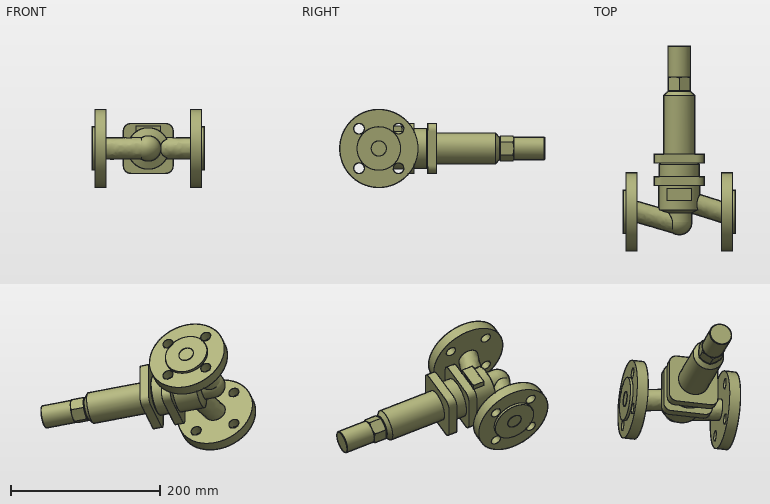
import cadquery as cq
import math


FACE_TO_FACE = 150.0
FLANGE_DIA = 105.0
FLANGE_THICKNESS = 15.0
RAISED_FACE_DIA = 58.2
RAISED_FACE_HEIGHT = 3.5
BOLT_CIRCLE_DIA = 74.7
BOLT_HOLE_DIA = 14.0
BOLT_HOLE_COUNT = 4
FIRST_BOLT_ANGLE = 45
PORT_DIA = 20.3
PORT_DEPTH = 0.5

PIPE_DIA = 28.8
RIGHT_PIPE_RISE = 17.9

TOTAL_LENGTH = 274.7
BALL_RADIUS = 17.0
BALL_Y = -13.7
NECK_TOP_Y = -1.5
BODY_BOTTOM_Y = 2.7
BODY_DIA = 55.5

CLAMP_SIDE = 67.0
CLAMP_CORNER_RADIUS = 10.2
CLAMP_THICKNESS = 12.0
LOWER_CLAMP_Y = 35.2
UPPER_CLAMP_Y = 65.5

COLLAR_DIA = 53.8
COLLAR_CHAMFER_WIDTH = 2.5
COLLAR_CHAMFER_HEIGHT = 1.6

BONNET_DIA = 42.0
BONNET_SHOULDER_Y = 156.0
BONNET_TOP_Y = 161.2
CAP_DIA = 30.5
CAP_TOP_Y = TOTAL_LENGTH - FLANGE_DIA / 2
CAP_CHAMFER = 0.8

HEX_SIDES = 6
HEX_TURN = 90
HEX_BOTTOM_Y = 162.5
HEX_TOP_Y = 180.7
HEX_CORNER_DIA = 34.0
HEX_CORE_DIA = 27.5
HEX_CHAMFER_ANGLE = 30

PAD_WIDTH = 32.0
PAD_LENGTH = 16.0
PAD_BOTTOM_Y = 15.0
PAD_TOP_Z = 30.2

FLANGE_INNER_X = FACE_TO_FACE / 2 - RAISED_FACE_HEIGHT - FLANGE_THICKNESS


def plane_across_y(y):
    """Plane at height y on the bonnet axis, with local x along X and normal along +Y."""
    return cq.Workplane(cq.Plane(origin=(0, y, 0), xDir=(1, 0, 0), normal=(0, 1, 0)))


def pipe_flange(side):
    """Drilled flange with a raised face, on side -1 (left) or +1 (right)."""
    plane = cq.Plane(origin=(side * FLANGE_INNER_X, 0, 0), xDir=(0, 1, 0), normal=(side, 0, 0))
    start = cq.Workplane(plane)
    bolt_holes = (
        start.polarArray(BOLT_CIRCLE_DIA / 2, FIRST_BOLT_ANGLE, 360, BOLT_HOLE_COUNT)
        .circle(BOLT_HOLE_DIA / 2)
        .extrude(FLANGE_THICKNESS)
    )
    face_height = FLANGE_THICKNESS + RAISED_FACE_HEIGHT
    disc = start.circle(FLANGE_DIA / 2).extrude(FLANGE_THICKNESS).cut(bolt_holes)
    raised_face = start.circle(RAISED_FACE_DIA / 2).extrude(face_height)
    port = start.workplane(offset=face_height - PORT_DEPTH).circle(PORT_DIA / 2).extrude(PORT_DEPTH)
    return disc.union(raised_face).cut(port)


def slanted_pipe(x_inner, y_inner, x_flange):
    """Pipe with circular ends square to X, slanting from the flange axis to the inner point."""
    return (
        cq.Workplane("YZ", origin=(x_inner, 0, 0))
        .center(y_inner, 0)
        .circle(PIPE_DIA / 2)
        .workplane(offset=x_flange - x_inner)
        .center(-y_inner, 0)
        .circle(PIPE_DIA / 2)
        .loft(ruled=True)
    )


def turned_body():
    """Ball end, neck, body, collar, bonnet and cap, with a core for the hexagon."""
    collar_end_y = UPPER_CLAMP_Y - COLLAR_CHAMFER_HEIGHT
    return (
        cq.Workplane("XY")
        .moveTo(0, BALL_Y - BALL_RADIUS)
        .threePointArc(
            (BALL_RADIUS * math.sqrt(0.5), BALL_Y - BALL_RADIUS * math.sqrt(0.5)),
            (BALL_RADIUS, BALL_Y),
        )
        .lineTo(BALL_RADIUS, NECK_TOP_Y)
        .lineTo(BODY_DIA / 2, BODY_BOTTOM_Y)
        .lineTo(BODY_DIA / 2, LOWER_CLAMP_Y)
        .lineTo(COLLAR_DIA / 2, LOWER_CLAMP_Y)
        .lineTo(COLLAR_DIA / 2, collar_end_y)
        .lineTo(COLLAR_DIA / 2 - COLLAR_CHAMFER_WIDTH, UPPER_CLAMP_Y)
        .lineTo(BONNET_DIA / 2, UPPER_CLAMP_Y)
        .lineTo(BONNET_DIA / 2, BONNET_SHOULDER_Y)
        .lineTo(CAP_DIA / 2, BONNET_TOP_Y)
        .lineTo(CAP_DIA / 2, HEX_BOTTOM_Y)
        .lineTo(HEX_CORE_DIA / 2, HEX_BOTTOM_Y)
        .lineTo(HEX_CORE_DIA / 2, HEX_TOP_Y)
        .lineTo(CAP_DIA / 2, HEX_TOP_Y)
        .lineTo(CAP_DIA / 2, CAP_TOP_Y - CAP_CHAMFER)
        .lineTo(CAP_DIA / 2 - CAP_CHAMFER, CAP_TOP_Y)
        .lineTo(0, CAP_TOP_Y)
        .close()
        .revolve(360, (0, 0, 0), (0, 1, 0))
    )


def clamp_plate(y):
    """Square plate with rounded corners whose lower face is at y."""
    return (
        plane_across_y(y)
        .rect(CLAMP_SIDE, CLAMP_SIDE)
        .extrude(CLAMP_THICKNESS)
        .edges("|Y")
        .fillet(CLAMP_CORNER_RADIUS)
    )


def cap_hexagon():
    """Hexagon with corners on the Z axis, its upper corners trimmed by a cone."""
    corner_radius = HEX_CORNER_DIA / 2
    flat_radius = corner_radius * math.cos(math.pi / HEX_SIDES)
    trim_drop = (corner_radius - flat_radius) * math.tan(math.radians(HEX_CHAMFER_ANGLE))
    hexagon = (
        plane_across_y(HEX_BOTTOM_Y)
        .transformed(rotate=(0, 0, HEX_TURN))
        .polygon(HEX_SIDES, HEX_CORNER_DIA)
        .extrude(HEX_TOP_Y - HEX_BOTTOM_Y)
    )
    trim = (
        cq.Workplane("XY")
        .moveTo(0, HEX_BOTTOM_Y)
        .lineTo(corner_radius, HEX_BOTTOM_Y)
        .lineTo(corner_radius, HEX_TOP_Y - trim_drop)
        .lineTo(flat_radius, HEX_TOP_Y)
        .lineTo(0, HEX_TOP_Y)
        .close()
        .revolve(360, (0, 0, 0), (0, 1, 0))
    )
    return hexagon.intersect(trim)


def label_pad():
    """Flat-topped rectangular pad standing on the body, rooted on the bonnet axis."""
    return (
        cq.Workplane("XY")
        .center(0, PAD_BOTTOM_Y + PAD_LENGTH / 2)
        .rect(PAD_WIDTH, PAD_LENGTH)
        .extrude(PAD_TOP_Z)
    )


ball_seam_x = -math.sqrt(BALL_RADIUS**2 - (PIPE_DIA / 2) ** 2)
left_pipe_slope = -BALL_Y / (-FLANGE_INNER_X - ball_seam_x)
buried_end_x = ball_seam_x / 2
buried_end_y = BALL_Y + left_pipe_slope * (buried_end_x - ball_seam_x)

result = turned_body()
for clamp_y in (LOWER_CLAMP_Y, UPPER_CLAMP_Y):
    result = result.union(clamp_plate(clamp_y))
result = result.union(cap_hexagon())
result = result.union(label_pad())
result = result.union(slanted_pipe(buried_end_x, buried_end_y, -FLANGE_INNER_X))
result = result.union(slanted_pipe(0, RIGHT_PIPE_RISE, FLANGE_INNER_X))
for flange_side in (-1, 1):
    result = result.union(pipe_flange(flange_side))